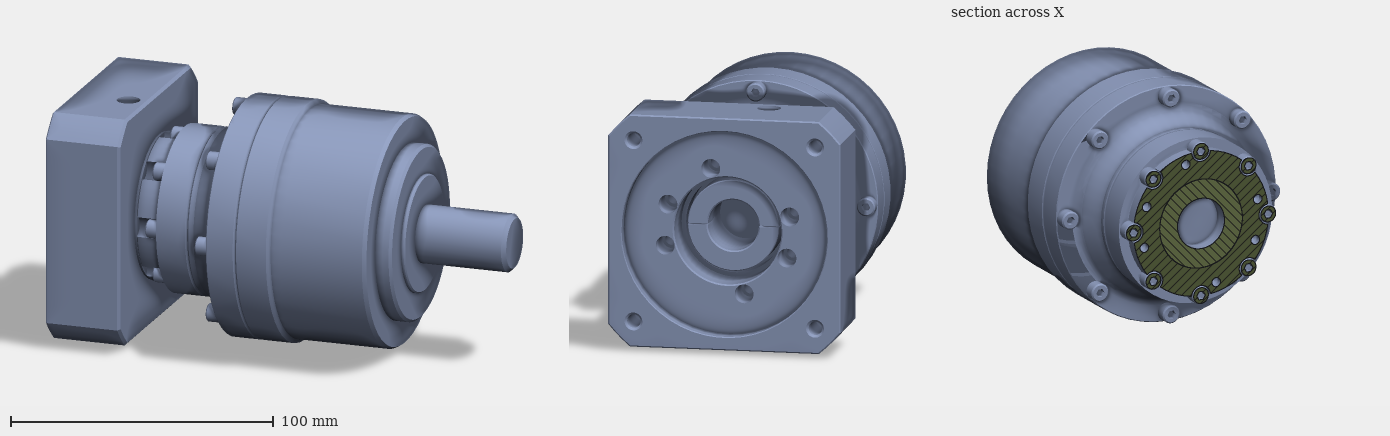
import cadquery as cq
import math

TOTAL_LENGTH = 173.5

PLATE_WIDTH = 90.2
PLATE_THICKNESS = 30.0
PLATE_CORNER_RADIUS = 58.1
PLATE_FRONT_CHAMFER = 0.5
PLATE_REAR_CHAMFER = 1.0
BOSS_RADIUS = 28.5
BOSS_HEIGHT = 0.9
PILOT_RADIUS = 39.9
PILOT_CHAMFER = 0.3
PILOT_DEPTH = 6.5
HUB_BORE_RADIUS = 20.8
HUB_BORE_CHAMFER = 0.5
HUB_BORE_END = 21.7
HUB_CLEARANCE_RADIUS = 19.0
MOTOR_HOLE_OFFSET = 35.2
MOTOR_HOLE_RADIUS = 2.6
MOTOR_HOLE_CHAMFER = 0.9
MOTOR_HOLE_DEPTH = 15.6

BOLT_CIRCLE_RADIUS = 25.0
BOLT_ANGLES = [22.5, 75, 165, 202.5, 255, 345]
BOLT_HEAD_RADIUS = 3.6
BOLT_SEAT_X = 19.0
BOLT_HOLE_RADIUS = 2.5
TAPPED_HOLE_RADIUS = 1.7
TAPPED_HOLE_DEPTH = 7.0

PLUG_X = 22.2
PLUG_Y = -13.0
PLUG_SEAT_Z = 20.8
PLUG_HOLE_RADIUS = 4.5
PLUG_SOCKET_RADIUS = 2.0
PLUG_SOCKET_CHAMFER = 0.5
PLUG_SOCKET_DEPTH = 3.5

HUB_RADIUS = 17.7
HUB_FRONT_X = 17.4
HUB_BACK_X = 41.6
HUB_CHAMFER = 0.3
SHAFT_BORE_RADIUS = 9.9
SHAFT_BORE_CHAMFER = 0.5
SLIT_WIDTH = 0.7
SLIT_DEPTH = 13.9

NECK_START = PLATE_THICKNESS + BOSS_HEIGHT
NECK_RADIUS = 28.8
NECK_CHAMFER = 0.5
COLLAR_START = 40.3
COLLAR_RADIUS = 32.6
COLLAR_GROOVE_X = 52.5
CONE_START = 55.3
CONE_END = 63.3
CONE_ANGLE = 28.0
FLANGE_START = 65.2
FLANGE_RADIUS = 93.5 / 2
FLANGE_CHAMFER = 0.3
FLANGE_GROOVE_X = 76.9
GROOVE_DEPTH = 0.7
FLANGE_END = 89.5
BODY_START = 91.0
BODY_RADIUS = 45.1
BODY_END = 129.3
BODY_CHAMFER_LENGTH = 1.5
BODY_CHAMFER_DEPTH = 0.9
SPIGOT_RADIUS = 34.2
SPIGOT_END = 135.7
SPIGOT_CHAMFER = 1.0
SEAL_RADIUS = 22.9
SEAL_END = 137.2
SEAL_CHAMFER = 0.5
SHAFT_RADIUS = 11.3
SHAFT_CHAMFER = 1.5

KEY_START = 141.0
KEY_LENGTH = 28.5
KEY_WIDTH = 6.2
KEY_TOP = 13.9
KEY_BOTTOM = 7.8

SCREW_COUNT = 8
SCREW_HEAD_RADIUS = 7.1 / 2
SCREW_HEAD_HEIGHT = 4.7
SCREW_HEAD_CHAMFER = 0.5
SOCKET_ACROSS_CORNERS = 3.5
SOCKET_DEPTH = 2.3
COLLAR_SCREW_CIRCLE = 28.6
FLANGE_SCREW_CIRCLE = 42.9
POCKET_RADIUS = 7.8 / 2

DRILL_POINT_ANGLE = 118.0


def cylinder_x(radius, start, end, y=0.0, z=0.0):
    """Cylinder along X between two stations."""
    return cq.Workplane("YZ", origin=(start, y, z)).circle(radius).extrude(end - start)


def cone_x(start_radius, end_radius, start, length, y=0.0, z=0.0):
    """Cone or truncated cone along X, pointing to +X."""
    solid = cq.Solid.makeCone(
        start_radius, end_radius, length, pnt=cq.Vector(start, y, z), dir=cq.Vector(1, 0, 0)
    )
    return cq.Workplane(obj=solid)


def drill_x(radius, start, depth, y, z):
    """Blind hole tool along X with a conical drill point."""
    point_length = radius / math.tan(math.radians(DRILL_POINT_ANGLE / 2))
    barrel = cylinder_x(radius, start, start + depth, y, z)
    return barrel.union(cone_x(radius, 0, start + depth, point_length, y, z))


def on_circle(radius, angles):
    """(y, z) places on a circle around the X axis."""
    return [
        (radius * math.cos(math.radians(angle)), radius * math.sin(math.radians(angle)))
        for angle in angles
    ]


BOLT_PLACES = on_circle(BOLT_CIRCLE_RADIUS, BOLT_ANGLES)
SCREW_ANGLES = [index * 360 / SCREW_COUNT for index in range(SCREW_COUNT)]


def make_plate():
    """Square adapter plate with turned corners, a motor pilot and a low round boss."""
    plate = cq.Workplane("YZ").rect(PLATE_WIDTH, PLATE_WIDTH).extrude(PLATE_THICKNESS)
    plate = plate.intersect(cylinder_x(PLATE_CORNER_RADIUS, 0, PLATE_THICKNESS))
    plate = plate.faces("<X").chamfer(PLATE_FRONT_CHAMFER)
    plate = plate.faces(">X").chamfer(PLATE_REAR_CHAMFER)
    plate = plate.union(cylinder_x(BOSS_RADIUS, PLATE_THICKNESS, NECK_START))

    plate = plate.cut(cylinder_x(PILOT_RADIUS, 0, PILOT_DEPTH))
    plate = plate.cut(cone_x(PILOT_RADIUS + PILOT_CHAMFER, PILOT_RADIUS, 0, PILOT_CHAMFER))
    plate = plate.cut(cylinder_x(HUB_BORE_RADIUS, PILOT_DEPTH, HUB_BORE_END))
    plate = plate.cut(
        cone_x(HUB_BORE_RADIUS + HUB_BORE_CHAMFER, HUB_BORE_RADIUS, PILOT_DEPTH, HUB_BORE_CHAMFER)
    )
    plate = plate.cut(cylinder_x(HUB_CLEARANCE_RADIUS, HUB_BORE_END, NECK_START))

    for y in (-MOTOR_HOLE_OFFSET, MOTOR_HOLE_OFFSET):
        for z in (-MOTOR_HOLE_OFFSET, MOTOR_HOLE_OFFSET):
            plate = plate.cut(drill_x(MOTOR_HOLE_RADIUS, 0, MOTOR_HOLE_DEPTH, y, z))
            rim_radius = MOTOR_HOLE_RADIUS + MOTOR_HOLE_CHAMFER
            plate = plate.cut(cone_x(rim_radius, MOTOR_HOLE_RADIUS, 0, MOTOR_HOLE_CHAMFER, y, z))

    for y, z in BOLT_PLACES:
        plate = plate.cut(cylinder_x(BOLT_HEAD_RADIUS, PILOT_DEPTH, BOLT_SEAT_X, y, z))
        plate = plate.cut(cylinder_x(BOLT_HOLE_RADIUS, BOLT_SEAT_X, NECK_START, y, z))

    seat = cq.Workplane("XY", origin=(PLUG_X, PLUG_Y, PLUG_SEAT_Z))
    plate = plate.cut(seat.circle(PLUG_HOLE_RADIUS).extrude(PLATE_WIDTH))
    plate = plate.cut(seat.circle(PLUG_SOCKET_RADIUS).extrude(-PLUG_SOCKET_DEPTH))
    socket_rim = seat.circle(PLUG_SOCKET_RADIUS + PLUG_SOCKET_CHAMFER)
    plate = plate.cut(socket_rim.extrude(-PLUG_SOCKET_CHAMFER, taper=45))
    return plate


def make_hub():
    """Clamp hub for the motor shaft, slit on both sides from its front face."""
    hub = cylinder_x(HUB_RADIUS, HUB_FRONT_X, HUB_BACK_X).faces("<X").chamfer(HUB_CHAMFER)
    hub = hub.cut(cylinder_x(SHAFT_BORE_RADIUS, HUB_FRONT_X, HUB_BACK_X))
    rim_radius = SHAFT_BORE_RADIUS + SHAFT_BORE_CHAMFER
    hub = hub.cut(cone_x(rim_radius, SHAFT_BORE_RADIUS, HUB_FRONT_X, SHAFT_BORE_CHAMFER))
    slit = cq.Workplane("YZ", origin=(HUB_FRONT_X, 0, 0)).rect(2 * HUB_RADIUS, SLIT_WIDTH)
    return hub.cut(slit.extrude(SLIT_DEPTH))


def gearbox_blank():
    """Turned shape of the gearbox with its output shaft."""
    cone_end_radius = COLLAR_RADIUS + (CONE_END - CONE_START) * math.tan(math.radians(CONE_ANGLE))
    fillet_chord_angle = math.radians((CONE_ANGLE + 90) / 2)
    fillet_end_radius = cone_end_radius + (FLANGE_START - CONE_END) * math.tan(fillet_chord_angle)
    profile = (
        cq.Workplane("XY")
        .moveTo(NECK_START, 0)
        .lineTo(NECK_START, NECK_RADIUS - NECK_CHAMFER)
        .lineTo(NECK_START + NECK_CHAMFER, NECK_RADIUS)
        .lineTo(COLLAR_START, NECK_RADIUS)
        .lineTo(COLLAR_START, COLLAR_RADIUS)
        .lineTo(COLLAR_GROOVE_X - GROOVE_DEPTH, COLLAR_RADIUS)
        .lineTo(COLLAR_GROOVE_X, COLLAR_RADIUS - GROOVE_DEPTH)
        .lineTo(COLLAR_GROOVE_X + GROOVE_DEPTH, COLLAR_RADIUS)
        .lineTo(CONE_START, COLLAR_RADIUS)
        .lineTo(CONE_END, cone_end_radius)
        .tangentArcPoint((FLANGE_START, fillet_end_radius), relative=False)
        .lineTo(FLANGE_START, FLANGE_RADIUS - FLANGE_CHAMFER)
        .lineTo(FLANGE_START + FLANGE_CHAMFER, FLANGE_RADIUS)
        .lineTo(FLANGE_GROOVE_X - GROOVE_DEPTH, FLANGE_RADIUS)
        .lineTo(FLANGE_GROOVE_X, FLANGE_RADIUS - GROOVE_DEPTH)
        .lineTo(FLANGE_GROOVE_X + GROOVE_DEPTH, FLANGE_RADIUS)
        .lineTo(FLANGE_END, FLANGE_RADIUS)
        .lineTo(BODY_START, BODY_RADIUS)
        .lineTo(BODY_END - BODY_CHAMFER_LENGTH, BODY_RADIUS)
        .lineTo(BODY_END, BODY_RADIUS - BODY_CHAMFER_DEPTH)
        .lineTo(BODY_END, SPIGOT_RADIUS)
        .lineTo(SPIGOT_END - SPIGOT_CHAMFER, SPIGOT_RADIUS)
        .lineTo(SPIGOT_END, SPIGOT_RADIUS - SPIGOT_CHAMFER)
        .lineTo(SPIGOT_END, SEAL_RADIUS)
        .lineTo(SEAL_END - SEAL_CHAMFER, SEAL_RADIUS)
        .lineTo(SEAL_END, SEAL_RADIUS - SEAL_CHAMFER)
        .lineTo(SEAL_END, SHAFT_RADIUS)
        .lineTo(TOTAL_LENGTH - SHAFT_CHAMFER, SHAFT_RADIUS)
        .lineTo(TOTAL_LENGTH, SHAFT_RADIUS - SHAFT_CHAMFER)
        .lineTo(TOTAL_LENGTH, 0)
        .close()
    )
    return profile.revolve(360, (0, 0, 0), (1, 0, 0))


def screw_head(seat_x, y, z):
    """Chamfered cap screw head standing on a seat, with a hexagon socket."""
    front_x = seat_x - SCREW_HEAD_HEIGHT
    head = cylinder_x(SCREW_HEAD_RADIUS, front_x, seat_x, y, z)
    head = head.faces("<X").chamfer(SCREW_HEAD_CHAMFER)
    socket = cq.Workplane("YZ", origin=(front_x, y, z)).polygon(6, SOCKET_ACROSS_CORNERS)
    return head.cut(socket.extrude(SOCKET_DEPTH))


def shaft_key():
    """Round-ended key standing out of the shaft on the +Y side."""
    middle_x = KEY_START + KEY_LENGTH / 2
    key = cq.Workplane("XZ", origin=(middle_x, KEY_TOP, 0)).slot2D(KEY_LENGTH, KEY_WIDTH)
    return key.extrude(KEY_TOP - KEY_BOTTOM)


def make_gearbox():
    """Gearbox with its cap screws, output shaft and key."""
    gearbox = gearbox_blank()

    for y, z in on_circle(COLLAR_SCREW_CIRCLE, SCREW_ANGLES):
        gearbox = gearbox.cut(cylinder_x(POCKET_RADIUS, NECK_START, COLLAR_START, y, z))
        gearbox = gearbox.union(screw_head(COLLAR_START, y, z))

    for y, z in on_circle(FLANGE_SCREW_CIRCLE, SCREW_ANGLES):
        gearbox = gearbox.union(screw_head(FLANGE_START, y, z))

    for y, z in BOLT_PLACES:
        gearbox = gearbox.cut(drill_x(TAPPED_HOLE_RADIUS, NECK_START, TAPPED_HOLE_DEPTH, y, z))
    gearbox = gearbox.cut(cylinder_x(HUB_RADIUS, NECK_START, HUB_BACK_X))

    return gearbox.union(shaft_key())


plate = make_plate()
hub = make_hub()
gearbox = make_gearbox()

result = cq.Compound.makeCompound([plate.val(), hub.val(), gearbox.val()])